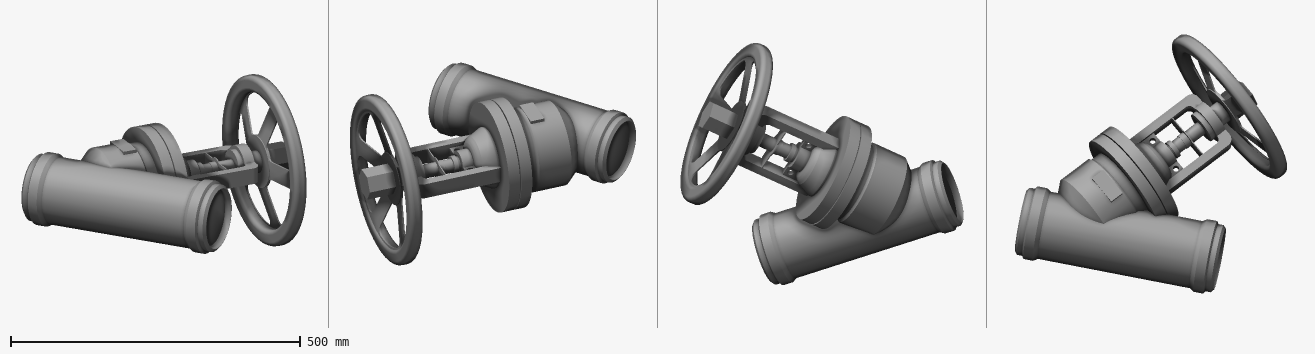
import cadquery as cq

pipe_length = 350.0
pipe_left = -81.0
pipe_radius = 59.0
pipe_lip_radius = 53.8
mouth_depth = 11.0
mouth_radius = 53.0
mouth_floor_radius = 49.5
end_chamfer = 4.5
collar_radius = 64.0
collar_bevel_start = 13.5
collar_start = 16.7
collar_end = 33.5
collar_bevel_end = 41.5

branch_angle = 50
seat_height = 9.0
body_radius = 75.0
seat_radius = 44.0
body_bottom = 44.0
body_top = 103.5
neck_radius = 71.0
neck_bottom = 107.5
flange_radius = 97.5
flange_thickness = 20.3
flange_gap = 2.0
lower_flange_bottom = 125.5
gasket_radius = 67.5

pad_width = 53.8
pad_bottom = 76.3
pad_top = 101.5
pad_face = 76.0

bonnet_foot_radius = 54.0
bonnet_foot_height = 3.5
bonnet_shoulder_radius = 43.0
bonnet_shoulder_bottom = 195.3
bonnet_shoulder_top = 199.0
bonnet_round = 6.0
bonnet_top = 205.0
gland_radius = 24.0
gland_top = 225.0

gland_neck_radius = 14.0
gland_nut_bottom = 229.5
gland_nut_radius = 16.7
gland_nut_top = 237.5
stem_radius = 12.5
stem_collar_radius = 13.5
stem_collar_bottom = 254.0
pointer_bottom = 264.5
pointer_thickness = 1.8
pointer_length = 83.5
pointer_width = 31.7
pointer_disc_radius = 20.5
hub_neck_radius = 20.0

yoke_width = 114.5
yoke_thickness = 29.0
yoke_opening = 84.5
yoke_top = 324.5
yoke_opening_top = 305.5
yoke_outer_round = 14.5
yoke_inner_round = 9.5
web_thickness = 13.2
web_hole_radius = 5.5
web_hole_offset = 32.0
web_hole_height = 214.5
yoke_boss_radius = 35.3
yoke_bush_radius = 28.5
yoke_bush_bottom = 296.0

wheel_diameter = 300.0
rim_width = 29.0
rim_height = 24.0
rim_round = 8.0
rim_bottom = 346.5
hub_radius = 46.7
hub_bottom = 345.0
hub_top = 350.5
disc_thickness = 2.5
disc_bottom_at_hub = 346.5
disc_bottom_at_rim = 364.5
disc_radius = 123.5
window_radius = 119.0
spoke_count = 5
spoke_width = 33.0
window_round = 11.5
nut_across_corners = 53.8
nut_top = 399.0

lower_flange_top = lower_flange_bottom + flange_thickness
upper_flange_bottom = lower_flange_top + flange_gap
upper_flange_top = upper_flange_bottom + flange_thickness
bonnet_foot_top = upper_flange_top + bonnet_foot_height
rim_top = rim_bottom + rim_height
wheel_radius = wheel_diameter / 2
rim_inner_radius = wheel_radius - rim_width


def cylinder(radius, bottom, top):
    return cq.Workplane("XY").workplane(offset=bottom).circle(radius).extrude(top - bottom)


def revolved(profile):
    """Turn a closed XZ profile about the Z axis."""
    return profile.close().revolve(360, (0, 0, 0), (0, 1, 0))


def plate(width, bottom, top, thickness):
    """Upright plate centred on the branch axis, thin along Y."""
    middle = (bottom + top) / 2
    return cq.Workplane("XY").box(width, thickness, top - bottom).translate((0, 0, middle))


def make_pipe():
    half = pipe_length / 2
    end_profile = [
        (0, pipe_lip_radius),
        (end_chamfer, pipe_radius),
        (collar_bevel_start, pipe_radius),
        (collar_start, collar_radius),
        (collar_end, collar_radius),
        (collar_bevel_end, pipe_radius),
    ]
    left = [(along - half, radius) for along, radius in end_profile]
    right = [(half - along, radius) for along, radius in reversed(end_profile)]
    outline = [(-half, 0)] + left + right + [(half, 0)]
    pipe = cq.Workplane("XY").polyline(outline).close().revolve(360, (0, 0, 0), (1, 0, 0))
    for side in (-1, 1):
        mouth = cq.Solid.makeCone(
            mouth_radius, mouth_floor_radius, mouth_depth,
            pnt=cq.Vector(side * half, 0, 0), dir=cq.Vector(-side, 0, 0),
        )
        pipe = pipe.cut(cq.Workplane(obj=mouth))
    return pipe.translate((pipe_left + half, 0, 0))


def make_body():
    profile = cq.Workplane("XZ").polyline([
        (0, seat_height),
        (seat_radius, seat_height),
        (body_radius, body_bottom),
        (body_radius, body_top),
        (neck_radius, neck_bottom),
        (neck_radius, lower_flange_bottom),
        (flange_radius, lower_flange_bottom),
        (flange_radius, lower_flange_top),
        (gasket_radius, lower_flange_top),
        (gasket_radius, upper_flange_bottom),
        (flange_radius, upper_flange_bottom),
        (flange_radius, upper_flange_top),
        (0, upper_flange_top),
    ])
    pad = (
        cq.Workplane("XY")
        .box(pad_width, pad_face, pad_top - pad_bottom)
        .translate((0, -pad_face / 2, (pad_bottom + pad_top) / 2))
    )
    return revolved(profile).union(pad)


def make_bonnet():
    round_start = bonnet_shoulder_radius - bonnet_round / 2
    profile = (
        cq.Workplane("XZ")
        .moveTo(0, upper_flange_top)
        .lineTo(bonnet_foot_radius, upper_flange_top)
        .lineTo(bonnet_foot_radius, bonnet_foot_top)
        .lineTo(bonnet_shoulder_radius, bonnet_shoulder_bottom)
        .lineTo(round_start, bonnet_shoulder_top)
        .tangentArcPoint((round_start - 2 * bonnet_round, bonnet_top), relative=False)
        .lineTo(0, bonnet_top)
    )
    return revolved(profile).union(cylinder(gland_radius, bonnet_top, gland_top))


def make_stem():
    stem = cylinder(stem_radius, gland_nut_top, yoke_bush_bottom)
    stem = stem.union(cylinder(gland_neck_radius, gland_top, gland_nut_bottom))
    stem = stem.union(cylinder(gland_nut_radius, gland_nut_bottom, gland_nut_top))
    stem = stem.union(cylinder(stem_collar_radius, stem_collar_bottom, pointer_bottom))
    pointer_top = pointer_bottom + pointer_thickness
    stem = stem.union(plate(pointer_length, pointer_bottom, pointer_top, pointer_width))
    stem = stem.union(cylinder(pointer_disc_radius, pointer_bottom, pointer_top))
    return stem.union(cylinder(hub_neck_radius, yoke_top, hub_bottom))


def make_yoke():
    frame = plate(yoke_width, upper_flange_top, yoke_top, yoke_thickness)
    frame = frame.edges("|Y and >Z").fillet(yoke_outer_round)
    opening = plate(yoke_opening, upper_flange_top, yoke_opening_top, yoke_thickness)
    opening = opening.edges("|Y and >Z").fillet(yoke_inner_round)
    holes = (
        cq.Workplane("XZ")
        .pushPoints([(side * web_hole_offset, web_hole_height) for side in (-1, 1)])
        .circle(web_hole_radius)
        .extrude(web_thickness, both=True)
    )
    web = plate(yoke_opening, upper_flange_top, gland_top, web_thickness).cut(holes)
    boss = cylinder(yoke_boss_radius, yoke_opening_top, yoke_top)
    bush = cylinder(yoke_bush_radius, yoke_bush_bottom, yoke_opening_top)
    return frame.cut(opening).union(web).union(boss).union(bush)


def make_window_cutter():
    """Openings between the spokes, with rounded corners."""
    ring = cylinder(window_radius, hub_bottom, rim_top)
    ring = ring.cut(cylinder(hub_radius, hub_bottom, rim_top))
    spoke = (
        cq.Workplane("XY")
        .box(wheel_radius, spoke_width, 2 * rim_top)
        .translate((wheel_radius / 2, 0, rim_top))
    )
    for index in range(spoke_count):
        ring = ring.cut(spoke.rotate((0, 0, 0), (0, 0, 1), index * 360 / spoke_count))
    return ring.edges("|Z").fillet(window_round)


def make_handwheel():
    rim = cylinder(wheel_radius, rim_bottom, rim_top)
    rim = rim.cut(cylinder(rim_inner_radius, rim_bottom, rim_top))
    rim = rim.edges("%CIRCLE").fillet(rim_round)
    disc = revolved(cq.Workplane("XZ").polyline([
        (0, disc_bottom_at_hub),
        (hub_radius, disc_bottom_at_hub),
        (disc_radius, disc_bottom_at_rim),
        (disc_radius, disc_bottom_at_rim + disc_thickness),
        (hub_radius, disc_bottom_at_hub + disc_thickness),
        (0, disc_bottom_at_hub + disc_thickness),
    ])).cut(make_window_cutter())
    hub = cylinder(hub_radius, hub_bottom, hub_top)
    nut = (
        cq.Workplane("XY")
        .workplane(offset=hub_top)
        .polygon(6, nut_across_corners)
        .extrude(nut_top - hub_top)
    )
    return disc.union(rim).union(hub).union(nut)


def lean_over(branch):
    """Lay the branch axis into the XY plane at the branch angle from +X."""
    laid_down = branch.rotate((0, 0, 0), (1, 0, 0), -90)
    return laid_down.rotate((0, 0, 0), (0, 0, 1), branch_angle - 90)


branch = make_body()
for section in (make_bonnet(), make_yoke(), make_stem(), make_handwheel()):
    branch = branch.union(section)

result = make_pipe().union(lean_over(branch))